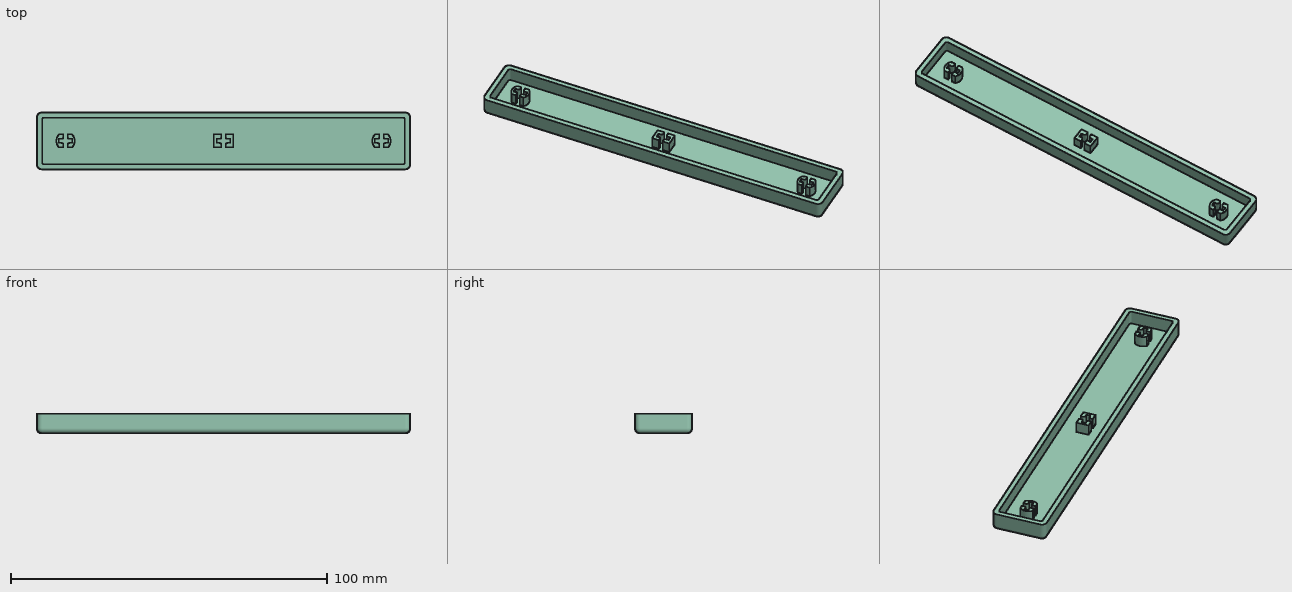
import cadquery as cq

length = 118.1
width = 18.1
height = 6.3
wall = 1.7
floor = wall
outer_radius = wall
bottom_radius = 1.5
cavity_radius = 0.7

centre_post_length = 6.0
end_post_diameter = 5.8
post_width = 4.1
post_top = 5.3
end_post_offset = 49.9

socket_span = post_width
socket_slot = 1.3
socket_corner_radius = 0.6

floor_plane = cq.Workplane("XY", origin=(0, 0, floor))
post_height = post_top - floor


def make_tray():
    """Tray with rounded outer edges and a cavity open at the top."""
    body = cq.Workplane("XY").box(length, width, height, centered=(True, True, False))
    body = body.edges("|Z").fillet(outer_radius)
    body = body.faces("<Z").edges().fillet(bottom_radius)
    cavity = floor_plane.rect(length - 2 * wall, width - 2 * wall).extrude(height - floor)
    cavity = cavity.edges("|Z").fillet(cavity_radius)
    return body.cut(cavity)


def make_post_block(block_length):
    """Rectangular post blank rising from the floor."""
    return floor_plane.rect(block_length, post_width).extrude(post_height)


def make_round_post():
    """Round post blank with a flat on each of its two Y sides."""
    cylinder = floor_plane.circle(end_post_diameter / 2).extrude(post_height)
    return cylinder.intersect(make_post_block(end_post_diameter))


def make_socket():
    """Cross-shaped cutter with its four re-entrant corners rounded."""
    bar_along_x = floor_plane.rect(socket_span, socket_slot).extrude(post_height)
    bar_along_y = floor_plane.rect(socket_slot, socket_span).extrude(post_height)
    cross = bar_along_x.union(bar_along_y)
    reach = socket_slot
    crossing = cq.selectors.BoxSelector((-reach, -reach, 0), (reach, reach, height))
    return cross.edges(crossing).edges("|Z").fillet(socket_corner_radius)


socket = make_socket()
centre_post = make_post_block(centre_post_length).cut(socket)
end_post = make_round_post().cut(socket)

result = make_tray().union(centre_post)
for side in (-1, 1):
    result = result.union(end_post.translate((side * end_post_offset, 0, 0)))